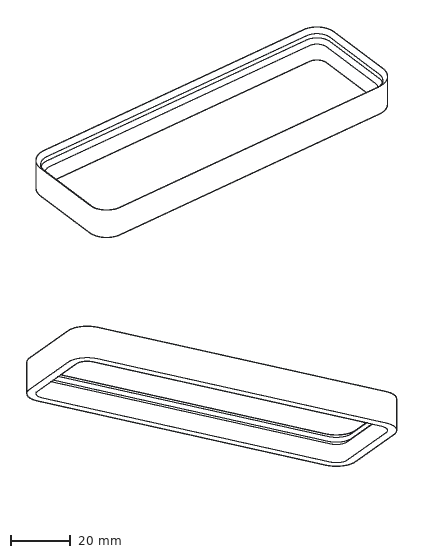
import cadquery as cq

width = 41.0
length = 125.0
height = 11.5
corner_radius = 7.2

upper_slope = 1.6
lower_slope = 1.5
step_height = 1.8

wall_thickness = upper_slope + lower_slope
step_top = height - upper_slope
step_bottom = step_top - step_height
wall_top = step_bottom - lower_slope


def rounded_block(inset, bottom, top):
    """Upright rounded block, set in evenly from the outer outline."""
    return (
        cq.Workplane("XY", origin=(0, 0, bottom))
        .rect(width - 2 * inset, length - 2 * inset)
        .extrude(top - bottom)
        .edges("|Z")
        .fillet(corner_radius - inset)
    )


def tapered_block(bottom_inset, bottom, top_inset, top):
    """Rounded block that widens upward from one inset to another."""
    lower, upper = [
        cq.Sketch()
        .rect(width - 2 * inset, length - 2 * inset)
        .vertices()
        .fillet(corner_radius - inset)
        for inset in (bottom_inset, top_inset)
    ]
    return (
        cq.Workplane("XY", origin=(0, 0, bottom))
        .placeSketch(lower, upper.moved(cq.Location(cq.Vector(0, 0, top - bottom))))
        .loft()
    )


result = (
    rounded_block(0, 0, height)
    .cut(rounded_block(wall_thickness, 0, wall_top))
    .cut(tapered_block(wall_thickness, wall_top, upper_slope, step_bottom))
    .cut(rounded_block(upper_slope, step_bottom, step_top))
    .cut(tapered_block(upper_slope, step_top, 0, height))
)